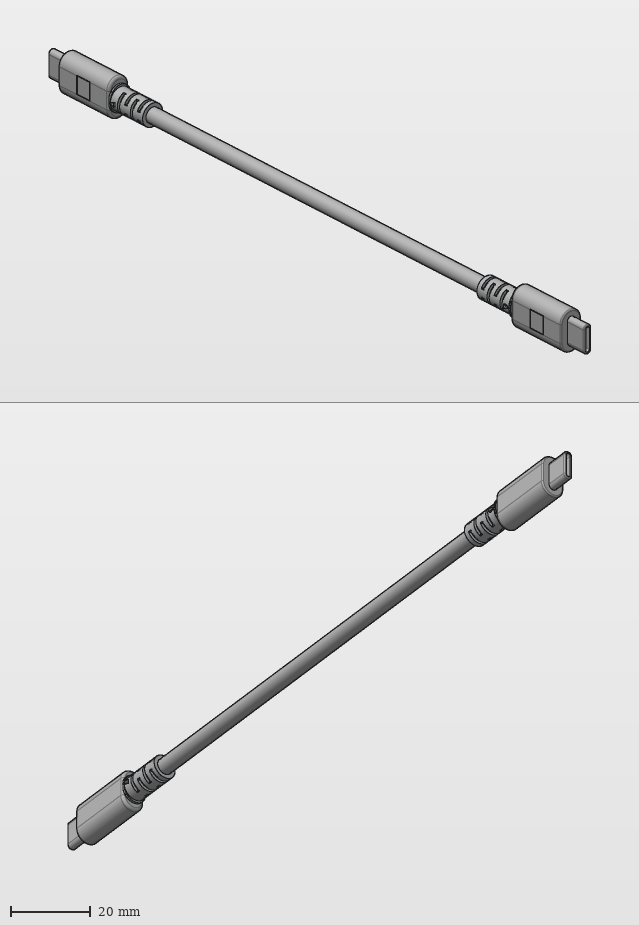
import cadquery as cq

total_length = 202.3

grip_height = 12.0
grip_thickness = 6.7
grip_length = 19.0
grip_front_radius = 0.5
grip_rear_radius = 0.8

panel_length = 4.9
panel_depth = 0.2
panel_setback = 6.9

plug_height = 8.3
plug_thickness = 2.5
plug_length = 6.3
plug_wall = 0.6
plug_tip_radius = 0.3
plug_cavity_depth = 5.3

relief_length = 12.7
relief_radius = grip_thickness / 2
collar_height = 7.9
collar_length = 0.6

slot_count = 4
slot_pitch = 2.5
slot_width = 0.8
slot_floor = 1.2
last_slot_setback = 1.8

arrow_height = 0.35
arrow_length = 1.8
arrow_width = 1.2
arrow_setback = 0.5

cable_radius = 2.2

tip_x = -total_length / 2
grip_start = tip_x + plug_length
grip_end = grip_start + grip_length
relief_end = grip_end + relief_length
arrow_reach = relief_radius + arrow_height


def stadium_bar(start, length, height, thickness):
    """Bar along +X with a stadium section, long side along Z."""
    return (
        cq.Workplane("YZ", origin=(start, 0, 0))
        .slot2D(height, thickness, 90)
        .extrude(length)
    )


def make_plug():
    """Hollow metal shell, open at the tip."""
    shell = stadium_bar(tip_x, plug_length, plug_height, plug_thickness)
    cavity = stadium_bar(
        tip_x, plug_cavity_depth, plug_height - 2 * plug_wall, plug_thickness - 2 * plug_wall
    )
    shell = shell.faces("<X").edges().fillet(plug_tip_radius)
    return shell.cut(cavity)


def make_panel():
    """Cutter as tall as the flat between the two rounded sides of the grip."""
    flat_height = grip_height - grip_thickness
    return cq.Workplane("XY", origin=(grip_start + panel_setback, -grip_thickness / 2, 0)).box(
        panel_length, 2 * panel_depth, flat_height, centered=(False, True, True)
    )


def make_relief():
    """Round sleeve with a collar where it meets the grip."""
    sleeve = (
        cq.Workplane("YZ", origin=(grip_end, 0, 0))
        .circle(relief_radius)
        .extrude(relief_length)
    )
    return sleeve.union(stadium_bar(grip_end, collar_length, collar_height, grip_thickness))


def make_slot_cutters():
    """Pairs of slots, each pair turned a quarter turn from its neighbour."""
    cutters = []
    for index in range(slot_count):
        slot_x = relief_end - last_slot_setback - index * slot_pitch
        quarter_turn = 90 * (index % 2)
        slot = cq.Workplane("XY", origin=(slot_x, 0, slot_floor)).box(
            slot_width, 2 * relief_radius, relief_radius, centered=(True, True, False)
        )
        for side in (0, 180):
            cutters.append(slot.rotate((0, 0, 0), (1, 0, 0), quarter_turn + side))
    return cutters


def make_arrows():
    """Triangles that point at the plug, through the sleeve from -Y to +Y."""
    point_x = grip_end + arrow_setback
    return (
        cq.Workplane("XZ", origin=(0, arrow_reach, 0))
        .moveTo(point_x, 0)
        .lineTo(point_x + arrow_length, arrow_width / 2)
        .lineTo(point_x + arrow_length, -arrow_width / 2)
        .close()
        .extrude(2 * arrow_reach)
    )


def make_cable():
    """Round cable from grip to grip, through both sleeves."""
    return (
        cq.Workplane("YZ", origin=(grip_end, 0, 0))
        .circle(cable_radius)
        .extrude(-2 * grip_end)
    )


def make_overmold():
    """Grip and strain relief in one piece, bored for the cable."""
    grip = stadium_bar(grip_start, grip_length, grip_height, grip_thickness)
    grip = grip.faces("<X").edges().fillet(grip_front_radius)
    grip = grip.faces(">X").edges().fillet(grip_rear_radius)
    grip = grip.cut(make_panel())
    relief = make_relief()
    for cutter in make_slot_cutters():
        relief = relief.cut(cutter)
    return grip.union(relief).union(make_arrows()).cut(make_cable())


bodies = [make_cable().val()]
for turn in (0, 180):
    for end_body in (make_plug(), make_overmold()):
        bodies.append(end_body.rotate((0, 0, 0), (0, 1, 0), turn).val())

result = cq.Compound.makeCompound(bodies)